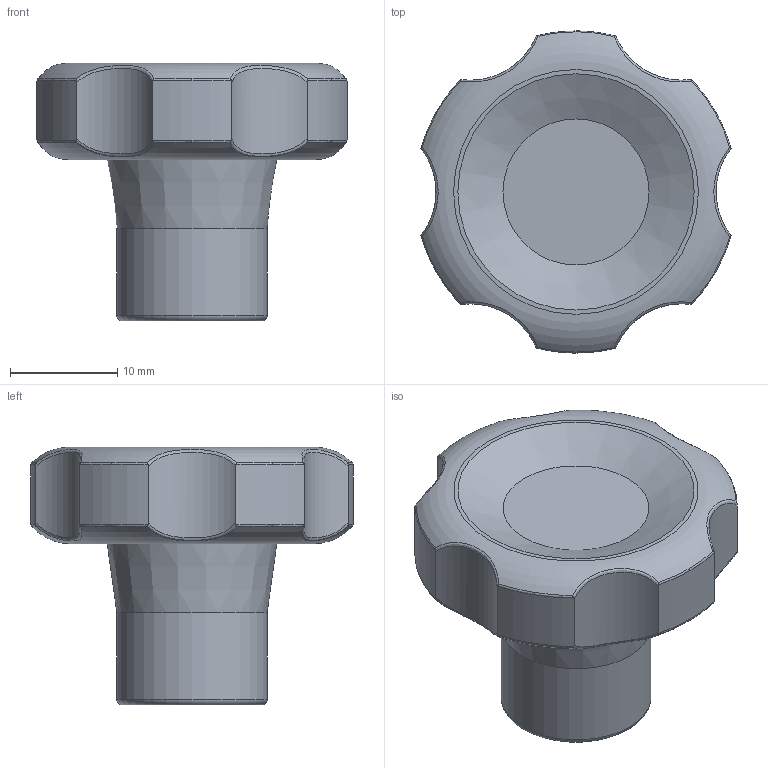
import cadquery as cq
import math

total_height = 24.0
head_height = 9.0
head_bottom = total_height - head_height
head_middle = head_bottom + head_height / 2

head_radius = 15.0
top_face_radius = 11.4
bottom_face_radius = 11.25
crown_radius = 5.0
rim_fillet = 0.3

dish_top_radius = 11.0
dish_floor_radius = 6.8
dish_depth = 2.0

scallop_count = 6
scallop_radius = 6.6
scallop_reach = 13.05

hub_radius = 7.0
hub_height = 8.6
hub_fillet = 0.5
neck_top_radius = 7.9


def revolve_profile(profile):
    """Turn a closed profile, drawn as radius against height, once around the axis."""
    return profile.revolve(360, (0, 0, 0), (0, 1, 0))


def crown_height(radius, face_radius):
    """Height of the crown arc, which is tangent to the top face, at a distance from the axis."""
    run = radius - face_radius
    return total_height - crown_radius + math.sqrt(crown_radius**2 - run**2)


def make_upper_blank(face_radius):
    """The turned upper half of the head, before the scallops are cut."""
    arc_radius = (face_radius + head_radius) / 2
    profile = (
        cq.Workplane("YZ")
        .moveTo(0, head_middle)
        .lineTo(head_radius, head_middle)
        .lineTo(head_radius, crown_height(head_radius, face_radius))
        .threePointArc(
            (arc_radius, crown_height(arc_radius, face_radius)),
            (face_radius, total_height),
        )
        .lineTo(0, total_height)
        .close()
    )
    return revolve_profile(profile)


def make_upper_segment(face_radius):
    """One scallop with half a lobe to each side of it, above the mid-plane, with its rim rounded."""
    half_angle = math.pi / scallop_count
    wedge_x = 2 * head_radius
    wedge_y = wedge_x * math.tan(half_angle)
    wedge = (
        cq.Workplane("XY", origin=(0, 0, head_middle))
        .polyline([(0, 0), (wedge_x, -wedge_y), (wedge_x, wedge_y)])
        .close()
        .extrude(head_height)
    )
    scallop = (
        cq.Workplane("XY", origin=(scallop_reach + scallop_radius, 0, head_middle))
        .circle(scallop_radius)
        .extrude(head_height)
    )
    segment = make_upper_blank(face_radius).intersect(wedge).cut(scallop)
    return segment.faces("%CYLINDER").edges("not (|Z or <Z)").fillet(rim_fillet)


def make_head():
    """Scalloped head: the lower half mirrors the upper one with its own flat face radius."""
    upper = make_upper_segment(top_face_radius)
    lower = make_upper_segment(bottom_face_radius).mirror("XY", (0, 0, head_middle))
    segment = upper.union(lower)
    head = segment
    for index in range(1, scallop_count):
        head = head.union(segment.rotate((0, 0, 0), (0, 0, 1), index * 360 / scallop_count))
    return head


def make_dish():
    profile = (
        cq.Workplane("YZ")
        .moveTo(0, total_height)
        .lineTo(dish_top_radius, total_height)
        .lineTo(dish_floor_radius, total_height - dish_depth)
        .lineTo(0, total_height - dish_depth)
        .close()
    )
    return revolve_profile(profile)


def make_hub():
    hub = cq.Workplane("XY").circle(hub_radius).extrude(hub_height)
    return hub.faces("<Z").edges().fillet(hub_fillet)


def make_neck():
    profile = (
        cq.Workplane("YZ")
        .moveTo(0, hub_height)
        .lineTo(hub_radius, hub_height)
        .lineTo(neck_top_radius, head_bottom)
        .lineTo(0, head_bottom)
        .close()
    )
    return revolve_profile(profile)


head = make_head().cut(make_dish())
result = head.union(make_neck()).union(make_hub()).clean()